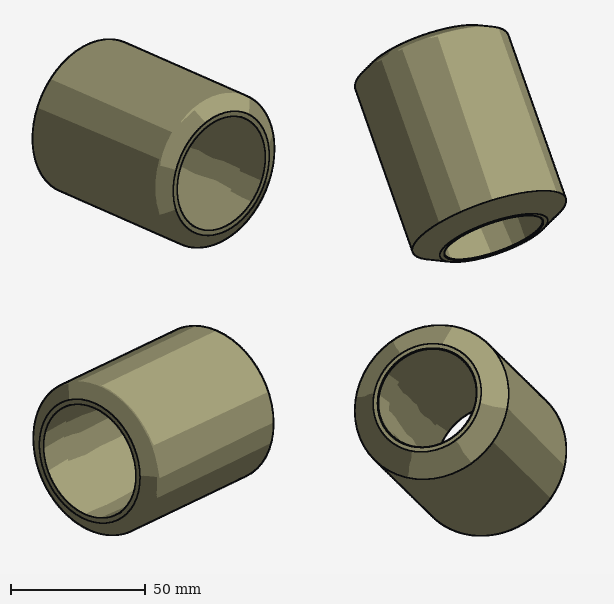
import cadquery as cq
import math

length = 76.0
outer_diameter = 60.3
small_bore_diameter = 38.3
large_bore_diameter = 44.3
straight_bore_length = 12.0
land_width = 2.0
bevel_angle = 30.0
mouth_chamfer = 0.3
bevel_corner_radius = 1.0

outer_radius = outer_diameter / 2
small_bore_radius = small_bore_diameter / 2
large_bore_radius = large_bore_diameter / 2
small_land_radius = small_bore_radius + land_width
large_land_radius = large_bore_radius + land_width
bevel_slope = math.tan(math.radians(bevel_angle))
small_end_bevel_length = (outer_radius - small_land_radius) * bevel_slope
large_end_bevel_length = (outer_radius - large_land_radius) * bevel_slope
large_bevel_start = length - large_end_bevel_length


def sleeve():
    """Revolve the half section of the wall around the X axis."""
    section = (
        cq.Workplane("XY")
        .moveTo(mouth_chamfer, small_bore_radius)
        .lineTo(0, small_bore_radius + mouth_chamfer)
        .lineTo(0, small_land_radius)
        .lineTo(small_end_bevel_length, outer_radius)
        .lineTo(large_bevel_start, outer_radius)
        .lineTo(length, large_land_radius)
        .lineTo(length, large_bore_radius)
        .lineTo(length - straight_bore_length, large_bore_radius)
        .lineTo(straight_bore_length, small_bore_radius)
        .close()
    )
    return section.revolve(360, (0, 0, 0), (1, 0, 0))


def round_bevel_corner(body):
    """Round the edge where the X-max bevel meets the outer cylinder."""
    corner_zone = cq.selectors.BoxSelector(
        (large_bevel_start - bevel_corner_radius, -outer_radius, -outer_radius),
        (large_bevel_start + bevel_corner_radius, outer_radius, outer_radius),
    )
    return body.edges("%CIRCLE").edges(corner_zone).fillet(bevel_corner_radius)


result = round_bevel_corner(sleeve())